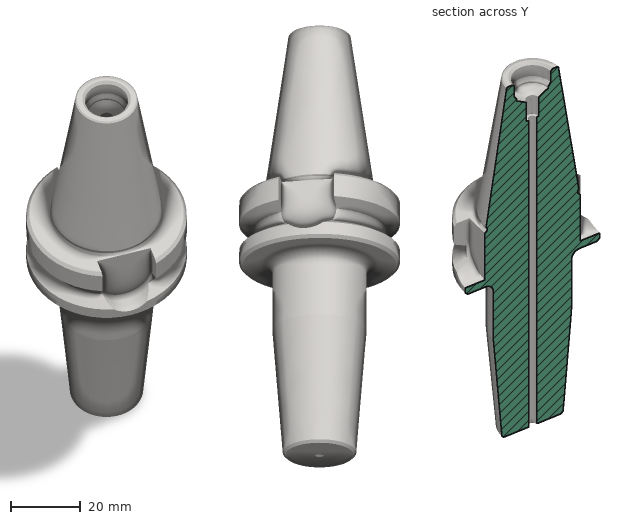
import cadquery as cq
import math

total_height = 128.4
gauge_z = 80.0
flange_top_z = 78.1
flange_bottom_z = 58.0
nose_cone_top_z = 38.0

gauge_radius = 15.9
taper_per_side = 7 / 24 / 2
taper_edge = 0.4
relief_radius = 15.5
relief_foot_radius = 16.2
relief_foot_height = 0.6

flange_radius = 23.0
flange_edge = 0.9
groove_radius = 19.1
groove_top_z = 68.5
groove_bottom_z = 64.8
groove_flank_angle = 30

body_radius = 13.5
body_fillet = 2.6
nose_radius = 10.5
nose_edge = 0.8

slot_width = 16.0
slot_floor_x = 16.3
slot_bottom_z = 60.9

counterbore_radius = 6.2
counterbore_depth = 4.8
mouth_chamfer = 0.8
bore_radius = 5.3
step_cone_height = 1.3
bore_depth = 6.5
drill_point_angle = 118
coolant_radius = 2.0
coolant_depth = 15.4
through_radius = 1.3


def revolve_profile(sketch):
    """Spin a closed radius/height profile about the Z axis."""
    return sketch.close().revolve(360, (0, 0, 0), (0, 1, 0))


def make_body():
    taper_end_radius = gauge_radius - taper_per_side * (total_height - gauge_z)
    flank_height = (flange_radius - groove_radius) * math.tan(math.radians(groove_flank_angle))
    fillet_middle = body_fillet * (1 - math.sqrt(0.5))
    profile = (
        cq.Workplane("XZ")
        .lineTo(nose_radius - nose_edge, 0)
        .lineTo(nose_radius, nose_edge)
        .lineTo(body_radius, nose_cone_top_z)
        .lineTo(body_radius, flange_bottom_z - body_fillet)
        .threePointArc(
            (body_radius + fillet_middle, flange_bottom_z - fillet_middle),
            (body_radius + body_fillet, flange_bottom_z),
        )
        .lineTo(flange_radius - flange_edge, flange_bottom_z)
        .lineTo(flange_radius, flange_bottom_z + flange_edge)
        .lineTo(flange_radius, groove_bottom_z - flank_height)
        .lineTo(groove_radius, groove_bottom_z)
        .lineTo(groove_radius, groove_top_z)
        .lineTo(flange_radius, groove_top_z + flank_height)
        .lineTo(flange_radius, flange_top_z - flange_edge)
        .lineTo(flange_radius - flange_edge, flange_top_z)
        .lineTo(relief_foot_radius, flange_top_z)
        .lineTo(relief_radius, flange_top_z + relief_foot_height)
        .lineTo(relief_radius, gauge_z - (gauge_radius - relief_radius))
        .lineTo(gauge_radius, gauge_z)
        .lineTo(taper_end_radius + taper_per_side * taper_edge, total_height - taper_edge)
        .lineTo(taper_end_radius - taper_edge, total_height)
        .lineTo(0, total_height)
    )
    return revolve_profile(profile)


def make_bore():
    half_point = math.radians(drill_point_angle / 2)
    point_height = (bore_radius - coolant_radius) / math.tan(half_point)
    counterbore_z = total_height - counterbore_depth
    bore_z = total_height - bore_depth
    coolant_z = total_height - coolant_depth
    profile = (
        cq.Workplane("XZ")
        .lineTo(through_radius, 0)
        .lineTo(through_radius, coolant_z)
        .lineTo(coolant_radius, coolant_z)
        .lineTo(coolant_radius, bore_z - point_height)
        .lineTo(bore_radius, bore_z)
        .lineTo(bore_radius, counterbore_z - step_cone_height)
        .lineTo(counterbore_radius, counterbore_z)
        .lineTo(counterbore_radius, total_height - mouth_chamfer)
        .lineTo(counterbore_radius + mouth_chamfer, total_height)
        .lineTo(0, total_height)
    )
    return revolve_profile(profile)


def make_drive_slot(side):
    """Round-ended slot open at the flange top; side is +1 or -1 along X."""
    half_width = slot_width / 2
    arc_center_z = slot_bottom_z + half_width
    return (
        cq.Workplane("YZ", origin=(side * slot_floor_x, 0, 0))
        .moveTo(-half_width, flange_top_z)
        .lineTo(-half_width, arc_center_z)
        .threePointArc((0, slot_bottom_z), (half_width, arc_center_z))
        .lineTo(half_width, flange_top_z)
        .close()
        .extrude(side * flange_radius)
    )


result = make_body().cut(make_bore())
for side in (-1, 1):
    result = result.cut(make_drive_slot(side))